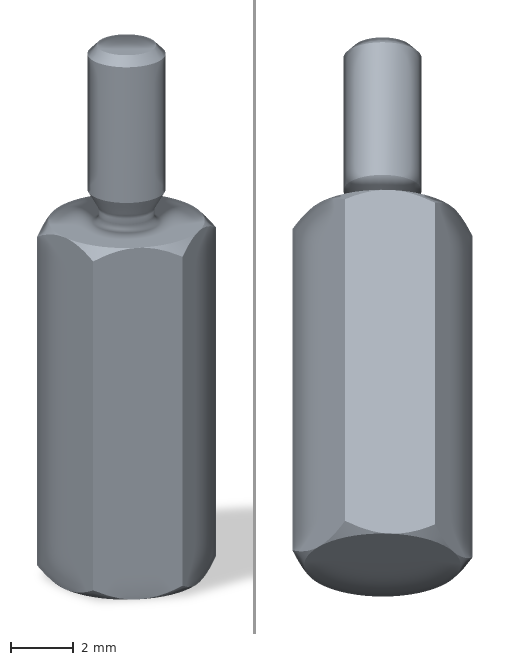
import cadquery as cq
import math

hex_sides = 6
across_flats = 5.0
body_length = 12.0
corner_chamfer_angle = 45.0

stud_diameter = 2.5
stud_length = 6.0
stud_tip_diameter = 1.9
stud_tip_angle = 45.0

neck_diameter = 1.8
undercut_length = 1.07
undercut_fillet = 0.2
undercut_cone_angle = 30.0

across_corners = across_flats / math.cos(math.pi / hex_sides)
overall_length = body_length + stud_length


def make_hex_body():
    """Hexagonal prism with its corners bevelled by a cone at both ends."""
    prism = cq.Workplane("XY").polygon(hex_sides, across_corners).extrude(body_length)
    flat_radius = across_flats / 2
    corner_radius = across_corners / 2
    bevel_height = (corner_radius - flat_radius) * math.tan(math.radians(corner_chamfer_angle))
    bevel_envelope = (
        cq.Workplane("XZ")
        .moveTo(0, 0)
        .lineTo(flat_radius, 0)
        .lineTo(corner_radius, bevel_height)
        .lineTo(corner_radius, body_length - bevel_height)
        .lineTo(flat_radius, body_length)
        .lineTo(0, body_length)
        .close()
        .revolve(360, (0, 0, 0), (0, 1, 0))
    )
    return prism.intersect(bevel_envelope)


def make_stud():
    """Revolved stud: filleted neck, conical run-out, cylinder and chamfered tip."""
    stud_radius = stud_diameter / 2
    neck_radius = neck_diameter / 2
    tip_radius = stud_tip_diameter / 2
    tip_height = (stud_radius - tip_radius) * math.tan(math.radians(stud_tip_angle))

    cone_angle = math.radians(undercut_cone_angle)
    fillet_centre_radius = neck_radius + undercut_fillet
    cone_start_radius = fillet_centre_radius - undercut_fillet * math.cos(cone_angle)
    cone_top = body_length + undercut_length
    cone_start = cone_top - (stud_radius - cone_start_radius) / math.tan(cone_angle)
    neck_top = cone_start - undercut_fillet * math.sin(cone_angle)
    neck_bottom = body_length + undercut_fillet

    upper_arc_middle = (
        fillet_centre_radius - undercut_fillet * math.cos(cone_angle / 2),
        neck_top + undercut_fillet * math.sin(cone_angle / 2),
    )
    lower_arc_middle = (
        fillet_centre_radius - undercut_fillet * math.cos(math.pi / 4),
        neck_bottom - undercut_fillet * math.sin(math.pi / 4),
    )
    return (
        cq.Workplane("XZ")
        .moveTo(0, body_length)
        .lineTo(fillet_centre_radius, body_length)
        .threePointArc(lower_arc_middle, (neck_radius, neck_bottom))
        .lineTo(neck_radius, neck_top)
        .threePointArc(upper_arc_middle, (cone_start_radius, cone_start))
        .lineTo(stud_radius, cone_top)
        .lineTo(stud_radius, overall_length - tip_height)
        .lineTo(tip_radius, overall_length)
        .lineTo(0, overall_length)
        .close()
        .revolve(360, (0, 0, 0), (0, 1, 0))
    )


result = make_hex_body().union(make_stud())